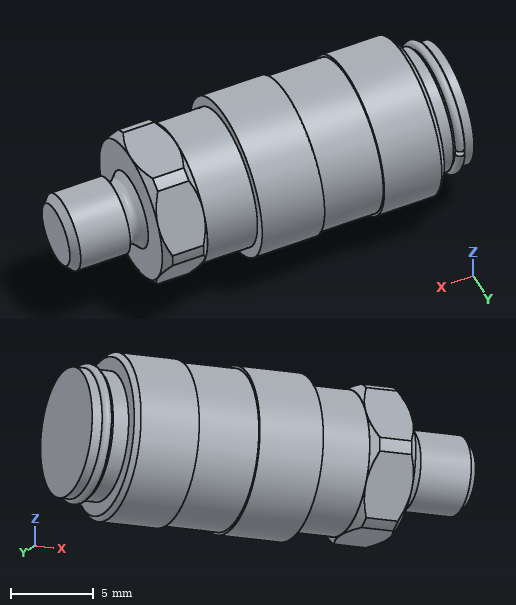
import cadquery as cq
import math

OVERALL_LENGTH = 26.05
GROOVE_START = 0.65
GROOVE_END = 1.38
SLEEVE_START = 2.4
BAND_START = 6.55
BAND_END = 10.52
SLEEVE_END = 14.7
HEX_START = 18.03
HEX_END = 21.05

NOSE_DIAMETER = 8.0
GROOVE_DIAMETER = 7.4
SLEEVE_DIAMETER = 10.35
BAND_DIAMETER = 10.0
NECK_DIAMETER = 9.0
STUD_DIAMETER = 5.0

SLEEVE_CHAMFER = 0.3
STUD_CHAMFER = 0.5

HEX_ACROSS_FLATS = 9.01
HEX_CORNER_DIAMETER = 9.95
HEX_CHAMFER = 0.47

UNDERCUT_DEPTH = 0.5
UNDERCUT_FILLET = 0.42
UNDERCUT_FRONT_SLOPE = math.radians(45)
UNDERCUT_REAR_SLOPE = math.radians(60)

WIRE_DIAMETER = 0.6
RING_GAP = 0.4


def cylinder(start, end, diameter):
    """Solid cylinder on the X axis."""
    return cq.Workplane("YZ", origin=(start, 0, 0)).circle(diameter / 2).extrude(end - start)


def make_nose():
    """Front nose with the snap ring groove and the matching collar behind it."""
    front = cylinder(0, GROOVE_START, NOSE_DIAMETER)
    floor = cylinder(GROOVE_START, GROOVE_END, GROOVE_DIAMETER)
    collar = cylinder(GROOVE_END, SLEEVE_START, NOSE_DIAMETER)
    return front.union(floor).union(collar)


def make_sleeve():
    """Grip sleeve: chamfered front, shallow recessed band, plain rear."""
    front = cylinder(SLEEVE_START, BAND_START, SLEEVE_DIAMETER)
    front = front.faces("<X").chamfer(SLEEVE_CHAMFER)
    band = cylinder(BAND_START, BAND_END, BAND_DIAMETER)
    rear = cylinder(BAND_END, SLEEVE_END, SLEEVE_DIAMETER)
    return front.union(band).union(rear)


def make_hexagon():
    """Wrench hexagon with turned corners and both ends chamfered."""
    length = HEX_END - HEX_START
    across_corners = HEX_ACROSS_FLATS / math.cos(math.pi / 6)
    prism = cq.Workplane("YZ", origin=(HEX_START, 0, 0)).polygon(6, across_corners).extrude(length)
    envelope = cylinder(HEX_START, HEX_END, HEX_CORNER_DIAMETER).edges().chamfer(HEX_CHAMFER)
    return prism.intersect(envelope)


def make_stud():
    """Rear stud with a rounded undercut at its root and a chamfered end."""
    radius = STUD_DIAMETER / 2
    floor_radius = radius - UNDERCUT_DEPTH

    front_rise = UNDERCUT_FILLET * (1 - math.cos(UNDERCUT_FRONT_SLOPE))
    rear_rise = UNDERCUT_FILLET * (1 - math.cos(UNDERCUT_REAR_SLOPE))
    front_span = UNDERCUT_FILLET * math.sin(UNDERCUT_FRONT_SLOPE)
    rear_span = UNDERCUT_FILLET * math.sin(UNDERCUT_REAR_SLOPE)

    arc_start = HEX_END + (UNDERCUT_DEPTH - front_rise) / math.tan(UNDERCUT_FRONT_SLOPE)
    arc_middle = arc_start + front_span
    arc_end = arc_middle + rear_span
    undercut_end = arc_end + (UNDERCUT_DEPTH - rear_rise) / math.tan(UNDERCUT_REAR_SLOPE)

    return (
        cq.Workplane("XY")
        .moveTo(HEX_END, 0)
        .lineTo(HEX_END, radius)
        .lineTo(arc_start, floor_radius + front_rise)
        .threePointArc((arc_middle, floor_radius), (arc_end, floor_radius + rear_rise))
        .lineTo(undercut_end, radius)
        .lineTo(OVERALL_LENGTH - STUD_CHAMFER, radius)
        .lineTo(OVERALL_LENGTH, radius - STUD_CHAMFER)
        .lineTo(OVERALL_LENGTH, 0)
        .close()
        .revolve(360, (0, 0, 0), (1, 0, 0))
    )


def make_housing():
    """Nose, sleeve, neck, hexagon and stud joined into one body."""
    neck = cylinder(SLEEVE_END, HEX_START, NECK_DIAMETER)
    return make_nose().union(make_sleeve()).union(neck).union(make_hexagon()).union(make_stud())


def make_snap_ring():
    """Open wire ring seated against the front wall and floor of the groove."""
    wire_radius = WIRE_DIAMETER / 2
    ring_radius = GROOVE_DIAMETER / 2 + wire_radius
    ring = (
        cq.Workplane("XY")
        .center(GROOVE_START + wire_radius, ring_radius)
        .circle(wire_radius)
        .revolve(360, (0, -ring_radius), (1, -ring_radius))
    )
    gap = cq.Workplane("XY").box(SLEEVE_START, SLEEVE_DIAMETER, RING_GAP, centered=(False, False, True))
    return ring.cut(gap)


housing = make_housing()
snap_ring = make_snap_ring()
result = cq.Compound.makeCompound([*housing.solids().vals(), *snap_ring.solids().vals()])